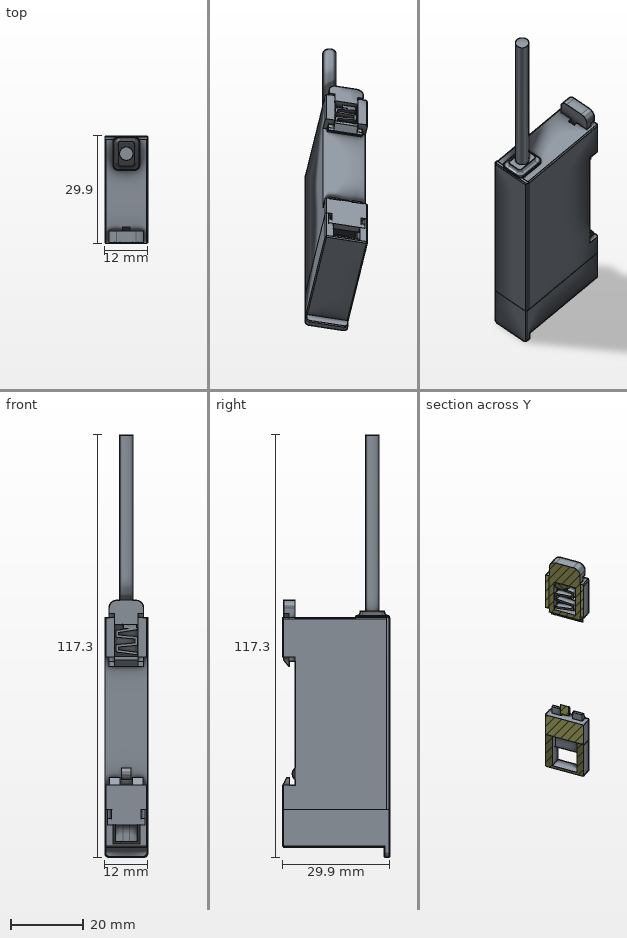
import cadquery as cq


WIDTH = 12.0
DEPTH = 29.9
HALF_WIDTH = WIDTH / 2
BODY_TOP = 63.8
JOINT_Z = 10.6
COVER_THICKNESS = 1.0
HOUSING_DEPTH = DEPTH - COVER_THICKNESS
EDGE_CHAMFER = 0.4
REAR_CHAMFER = 0.29

RECESS_DEPTH = 3.5
RECESS_BOTTOM = 17.2
RECESS_TOP = 52.8

HOOK_INNER_X = 1.8
HOOK_OUTER_X = 4.7
HOOK_FRONT_Y = 0.1
HOOK_BACK_Y = 2.0
HOOK_HEIGHT = 2.1
HOOK_FLAT = 0.8
BUMP_WIDTH = 2.6
BUMP_BOTTOM = 18.8
BUMP_TOP = 22.0
BUMP_RISE = 0.8

TONGUE_BOTTOM = 6.2
TONGUE_HALF_WIDTH = 5.2
TONGUE_BACK_HALF_WIDTH = 4.1
TONGUE_DEPTH = 1.8
TONGUE_NECK_BOTTOM = 8.0

CAVITY_HALF_WIDTH = 3.8
CAVITY_DEPTH = 11.7
CAVITY_FLOOR = 0.9
CORE_HALF_WIDTH = 3.0
CORE_FRONT_Y = 7.0
CORE_BOTTOM = 1.6
CORNER_RADIUS = 2.1

TAB_LENGTH = 2.8
TAB_THICKNESS = 1.8
TAB_CORNER_RADIUS = 1.2

SLIDER_HALF_WIDTH = 4.8
SLIDER_NECK_HALF_WIDTH = 3.3
SLIDER_FRONT_Y = 0.4
SLIDER_STEP_Y = 1.8
SLIDER_TOP = 68.6
SLIDER_SHOULDER = 65.0
SLIDER_BOTTOM = 50.2
SLIDER_FOOT_THICKNESS = 0.2
SLIDER_BACK_BOTTOM = 51.6
SLIDER_TOOTH_START = 52.0
SLIDER_CORNER_RADIUS = 2.1
WINDOW_BOTTOM = 53.0
WINDOW_TOP = 62.0

SPRING_LEFT = -2.52
SPRING_RIGHT = 2.76
SPRING_HALF_BAND = 0.4
SPRING_FRONT_Y = 1.4
SPRING_BEND_HEIGHTS = (60.8, 60.0, 58.7, 58.2, 56.4, 56.0, 54.5, 53.8)
ANCHOR_LEFT = -0.8
ANCHOR_RIGHT = 2.8

NOTCH_WIDTH = 2.1
NOTCH_LENGTH = 1.0
NOTCH_DEPTH = 2.3

CABLE_Y = 25.0
CABLE_RADIUS = 1.9
CABLE_TOP = 114.5
FLANGE_WIDTH = 7.5
FLANGE_LENGTH = 9.4
FLANGE_HEIGHT = 0.6
FLANGE_CORNER_RADIUS = 1.6
FLANGE_CHAMFER = 0.2
COLLAR_WIDTH = 4.5
COLLAR_LENGTH = 6.8
COLLAR_CORNER_RADIUS = 0.7
COVE_RADIUS = 1.0
GROMMET_HEIGHT = 1.8


def box(x0, x1, y0, y1, z0, z1):
    """Block between two opposite corners."""
    return cq.Workplane("XY").box(x1 - x0, y1 - y0, z1 - z0, centered=False).translate((x0, y0, z0))


def side_prism(points, half_width):
    """Prism of a Y-Z outline, centred on X = 0."""
    return cq.Workplane("YZ").polyline(points).close().extrude(half_width, both=True)


def plan_prism(points, z0, z1):
    """Prism of an X-Y outline between two heights."""
    return cq.Workplane("XY").workplane(offset=z0).polyline(points).close().extrude(z1 - z0)


def tongue_shape():
    """Trapezoid in plan that narrows away from the front face."""
    outline = [
        (-TONGUE_HALF_WIDTH, 0),
        (TONGUE_HALF_WIDTH, 0),
        (TONGUE_BACK_HALF_WIDTH, TONGUE_DEPTH),
        (-TONGUE_BACK_HALF_WIDTH, TONGUE_DEPTH),
    ]
    return plan_prism(outline, TONGUE_BOTTOM, JOINT_Z)


def rail_hook(x0):
    """Fixed hook whose front slopes from the lip to the base."""
    outline = [
        (HOOK_BACK_Y, RECESS_BOTTOM),
        (HOOK_FRONT_Y, RECESS_BOTTOM),
        (HOOK_BACK_Y - HOOK_FLAT, RECESS_BOTTOM + HOOK_HEIGHT),
        (HOOK_BACK_Y, RECESS_BOTTOM + HOOK_HEIGHT),
    ]
    hook_width = HOOK_OUTER_X - HOOK_INNER_X
    return side_prism(outline, hook_width / 2).translate((x0 + hook_width / 2, 0, 0))


def rail_bump():
    """Rounded bump on the back wall of the rail recess."""
    middle_z = (BUMP_BOTTOM + BUMP_TOP) / 2
    return (
        cq.Workplane("YZ")
        .moveTo(RECESS_DEPTH, BUMP_BOTTOM)
        .threePointArc((RECESS_DEPTH - BUMP_RISE, middle_z), (RECESS_DEPTH, BUMP_TOP))
        .close()
        .extrude(BUMP_WIDTH / 2, both=True)
    )


def notch():
    """Wedge cut into the top face, deepest against the slider."""
    outline = [
        (RECESS_DEPTH, BODY_TOP),
        (RECESS_DEPTH + NOTCH_LENGTH, BODY_TOP),
        (RECESS_DEPTH, BODY_TOP - NOTCH_DEPTH),
    ]
    return side_prism(outline, NOTCH_WIDTH / 2)


def make_housing():
    block = box(-HALF_WIDTH, HALF_WIDTH, 0, HOUSING_DEPTH, JOINT_Z, BODY_TOP)
    block = block.edges("<Y and |Z").chamfer(EDGE_CHAMFER)
    block = block.edges(">Z and |Y").chamfer(EDGE_CHAMFER)
    block = block.cut(box(-HALF_WIDTH, HALF_WIDTH, 0, RECESS_DEPTH, RECESS_BOTTOM, RECESS_TOP))
    neck = SLIDER_NECK_HALF_WIDTH
    block = block.cut(box(-neck, neck, 0, RECESS_DEPTH, RECESS_TOP, BODY_TOP))
    guide = SLIDER_HALF_WIDTH
    block = block.cut(box(-guide, guide, SLIDER_STEP_Y, RECESS_DEPTH, RECESS_TOP, BODY_TOP))
    block = block.cut(notch())
    for hook_x in (-HOOK_OUTER_X, HOOK_INNER_X):
        block = block.union(rail_hook(hook_x))
    block = block.union(rail_bump())
    tongue = tongue_shape()
    for side in (-1, 1):
        inner, outer = sorted((side * TONGUE_BACK_HALF_WIDTH, side * TONGUE_HALF_WIDTH))
        tongue = tongue.cut(box(inner, outer, 0, TONGUE_DEPTH, TONGUE_NECK_BOTTOM, JOINT_Z))
    return block.union(tongue)


def make_rear_cover():
    cover = box(-HALF_WIDTH, HALF_WIDTH, HOUSING_DEPTH, DEPTH, JOINT_Z, BODY_TOP)
    return cover.faces(">Y").edges("not <Z").chamfer(REAR_CHAMFER)


def make_lower_shell():
    shell = box(-HALF_WIDTH, HALF_WIDTH, 0, DEPTH - REAR_CHAMFER, 0, JOINT_Z)
    shell = shell.edges("<Z or (<Y and |Z)").chamfer(EDGE_CHAMFER)
    tab = box(-HALF_WIDTH, HALF_WIDTH, DEPTH - TAB_THICKNESS, DEPTH, -TAB_LENGTH, JOINT_Z)
    tab = tab.edges("<Z and |Y").fillet(TAB_CORNER_RADIUS)
    tab = tab.faces("<Y or >Y").edges("not >Z").chamfer(REAR_CHAMFER)
    cavity = box(-CAVITY_HALF_WIDTH, CAVITY_HALF_WIDTH, 0, CAVITY_DEPTH, CAVITY_FLOOR, JOINT_Z)
    cavity = cavity.edges(">Y and |Z").fillet(CORNER_RADIUS)
    return shell.union(tab).cut(cavity).cut(tongue_shape())


def make_socket_core():
    core = box(-CORE_HALF_WIDTH, CORE_HALF_WIDTH, CORE_FRONT_Y, CAVITY_DEPTH, CORE_BOTTOM, JOINT_Z)
    return core.edges("|Z").fillet(CORNER_RADIUS)


def make_slider():
    outline = [
        (SLIDER_FRONT_Y, SLIDER_TOP),
        (SLIDER_FRONT_Y, SLIDER_TOOTH_START),
        (SLIDER_STEP_Y, SLIDER_BOTTOM),
        (SLIDER_STEP_Y + SLIDER_FOOT_THICKNESS, SLIDER_BOTTOM),
        (SLIDER_STEP_Y + SLIDER_FOOT_THICKNESS, SLIDER_BACK_BOTTOM),
        (RECESS_DEPTH, SLIDER_BACK_BOTTOM),
        (RECESS_DEPTH, SLIDER_TOP),
    ]
    slider = side_prism(outline, SLIDER_HALF_WIDTH)
    slider = slider.edges(">Z and |Y").fillet(SLIDER_CORNER_RADIUS)
    neck = SLIDER_NECK_HALF_WIDTH
    for side in (-1, 1):
        inner, outer = sorted((side * neck, side * SLIDER_HALF_WIDTH))
        slider = slider.cut(box(inner, outer, 0, SLIDER_STEP_Y, SLIDER_BOTTOM, SLIDER_SHOULDER))
    return slider.cut(box(-neck, neck, 0, RECESS_DEPTH, WINDOW_BOTTOM, WINDOW_TOP))


def make_spring():
    """Flat zigzag band hanging from an anchor at the top of the slider window."""
    path = []
    for bend, z in enumerate(SPRING_BEND_HEIGHTS):
        on_left = (bend + 1) // 2 % 2 == 1
        path.append((SPRING_LEFT if on_left else SPRING_RIGHT, z))
    thickness = RECESS_DEPTH - SPRING_FRONT_Y
    band = (
        cq.Workplane("XZ", origin=(0, RECESS_DEPTH, 0))
        .polyline(path)
        .offset2D(SPRING_HALF_BAND)
        .extrude(thickness)
    )
    anchor = box(ANCHOR_LEFT, ANCHOR_RIGHT, SPRING_FRONT_Y, RECESS_DEPTH, SPRING_BEND_HEIGHTS[0], WINDOW_TOP)
    return band.union(anchor)


def make_cable():
    base = BODY_TOP + GROMMET_HEIGHT
    return cq.Workplane("XY", origin=(0, CABLE_Y, base)).circle(CABLE_RADIUS).extrude(CABLE_TOP - base)


def make_grommet():
    flange = cq.Workplane("XY").rect(FLANGE_WIDTH, FLANGE_LENGTH).extrude(FLANGE_HEIGHT)
    flange = flange.edges("|Z").fillet(FLANGE_CORNER_RADIUS).faces(">Z").chamfer(FLANGE_CHAMFER)
    collar = cq.Workplane("XY").rect(COLLAR_WIDTH, COLLAR_LENGTH).extrude(GROMMET_HEIGHT)
    collar = collar.edges("|Z").fillet(COLLAR_CORNER_RADIUS)
    grommet = flange.union(collar)
    reach_x = COLLAR_WIDTH / 2 + FLANGE_CHAMFER
    reach_y = COLLAR_LENGTH / 2 + FLANGE_CHAMFER
    foot = cq.selectors.BoxSelector(
        (-reach_x, -reach_y, FLANGE_HEIGHT - FLANGE_CHAMFER / 2),
        (reach_x, reach_y, FLANGE_HEIGHT + FLANGE_CHAMFER / 2),
    )
    grommet = grommet.edges(foot).fillet(COVE_RADIUS)
    return grommet.translate((0, CABLE_Y, BODY_TOP))


housing = make_housing()
rear_cover = make_rear_cover()
lower_shell = make_lower_shell()
socket_core = make_socket_core()
slider = make_slider()
spring = make_spring()
cable = make_cable()
grommet = make_grommet()

result = cq.Compound.makeCompound(
    [
        housing.val(),
        rear_cover.val(),
        lower_shell.val(),
        socket_core.val(),
        slider.val(),
        spring.val(),
        cable.val(),
        grommet.val(),
    ]
)